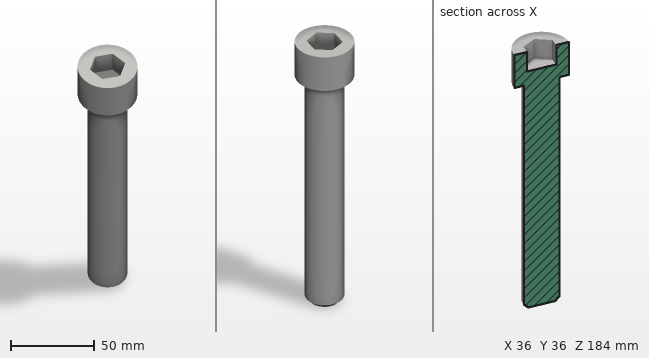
import cadquery as cq
import math

total_length = 184.0
head_diameter = 36.0
head_height = 24.0
shank_diameter = 24.0
thread_length = 60.0
tip_chamfer = 3.1
socket_across_flats = 19.0
socket_depth = 14.0

shank_length = total_length - head_height
plain_length = shank_length - thread_length
socket_across_corners = socket_across_flats / math.cos(math.pi / 6)


def make_head():
    """Cylindrical head with a hexagon socket, two corners lying on the X axis."""
    head = cq.Workplane("XY").circle(head_diameter / 2).extrude(head_height)
    return head.faces(">Z").workplane().polygon(6, socket_across_corners).cutBlind(-socket_depth)


def make_shank():
    """Plain shank followed by the threaded length, modelled smooth, with a chamfered tip."""
    plain = cq.Workplane("XY").circle(shank_diameter / 2).extrude(-plain_length)
    threaded = (
        cq.Workplane("XY", origin=(0, 0, -plain_length))
        .circle(shank_diameter / 2)
        .extrude(-thread_length)
        .faces("<Z")
        .chamfer(tip_chamfer)
    )
    return plain.union(threaded, clean=False)


result = make_head().union(make_shank(), clean=False)